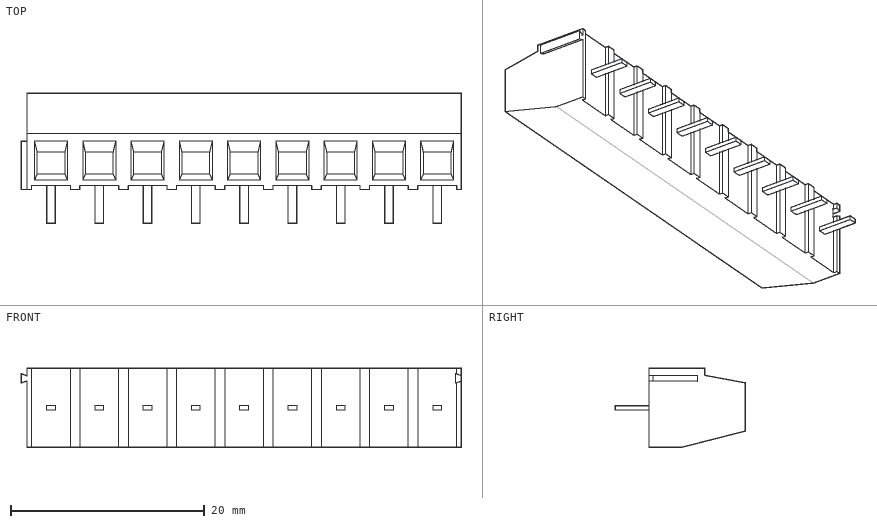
import cadquery as cq


TOTAL_LENGTH = 45.6
TONGUE_DEPTH = 0.6
WAY_COUNT = 9
BODY_LENGTH = TOTAL_LENGTH - TONGUE_DEPTH
PITCH = BODY_LENGTH / WAY_COUNT
BODY_DEPTH = 10.0
BODY_HEIGHT = 8.2

STEP_Y = 5.8
STEP_HEIGHT = 0.75
BACK_TOP_DROP = 1.5
BACK_BOTTOM_RISE = 1.7
FLAT_BOTTOM_DEPTH = 3.37

RIB_WIDTH = 1.0
RECESS_WIDTH = PITCH - RIB_WIDTH
RECESS_DEPTH = 0.4

POCKET_WIDTH = 3.4
POCKET_LENGTH = 4.0
POCKET_FRONT_Y = 1.0
POCKET_DEPTH = 1.0
FLOOR_SIDE_INSET = 0.27
FLOOR_FRONT_INSET = 0.6
FLOOR_BACK_INSET = 1.15

PIN_WIDTH = 0.9
PIN_THICKNESS = 0.45
PIN_LENGTH = 3.5

DOVETAIL_LENGTH = 5.0
DOVETAIL_TOP_DROP = 0.55
DOVETAIL_WIDTH = 1.0
DOVETAIL_FLARE = 0.25

WAY_CENTERS = [(way + 0.5) * PITCH for way in range(WAY_COUNT)]


def make_body():
    """Stepped and sloped end profile extruded along the row of ways."""
    profile = [
        (0, 0),
        (FLAT_BOTTOM_DEPTH, 0),
        (BODY_DEPTH, BACK_BOTTOM_RISE),
        (BODY_DEPTH, BODY_HEIGHT - BACK_TOP_DROP),
        (STEP_Y, BODY_HEIGHT - STEP_HEIGHT),
        (STEP_Y, BODY_HEIGHT),
        (0, BODY_HEIGHT),
    ]
    return cq.Workplane("YZ").polyline(profile).close().extrude(BODY_LENGTH)


def make_front_recess(center_x):
    """Full-height shallow recess in the front face of one way."""
    return cq.Workplane("XY").box(
        RECESS_WIDTH, RECESS_DEPTH, BODY_HEIGHT, centered=(True, False, False)
    ).translate((center_x, 0, 0))


def make_pocket(center_x):
    """Four-sided pocket whose walls lean in towards a smaller flat floor."""
    floor_width = POCKET_WIDTH - 2 * FLOOR_SIDE_INSET
    floor_length = POCKET_LENGTH - FLOOR_FRONT_INSET - FLOOR_BACK_INSET
    floor_shift = (FLOOR_FRONT_INSET - FLOOR_BACK_INSET) / 2
    pocket_center_y = POCKET_FRONT_Y + POCKET_LENGTH / 2
    return (
        cq.Workplane("XY", origin=(center_x, pocket_center_y, BODY_HEIGHT))
        .rect(POCKET_WIDTH, POCKET_LENGTH)
        .workplane(offset=-POCKET_DEPTH)
        .center(0, floor_shift)
        .rect(floor_width, floor_length)
        .loft(ruled=True)
    )


def make_pin(center_x):
    """Flat pin standing out from the recessed front face at mid height."""
    return cq.Workplane("XY").box(
        PIN_WIDTH, PIN_LENGTH + RECESS_DEPTH, PIN_THICKNESS, centered=(True, False, True)
    ).translate((center_x, -PIN_LENGTH, BODY_HEIGHT / 2))


def make_dovetail(neck_x):
    """Dovetail bar reaching from its neck towards -X, where it is widest."""
    top = BODY_HEIGHT - DOVETAIL_TOP_DROP
    bottom = top - DOVETAIL_WIDTH
    outline = [
        (neck_x - TONGUE_DEPTH, bottom),
        (neck_x, bottom + DOVETAIL_FLARE),
        (neck_x, top - DOVETAIL_FLARE),
        (neck_x - TONGUE_DEPTH, top),
    ]
    return cq.Workplane("XZ").polyline(outline).close().extrude(-DOVETAIL_LENGTH)


result = make_body()
for way_x in WAY_CENTERS:
    result = result.cut(make_front_recess(way_x))
    result = result.cut(make_pocket(way_x))
    result = result.union(make_pin(way_x))

result = result.union(make_dovetail(0))
result = result.cut(make_dovetail(BODY_LENGTH))